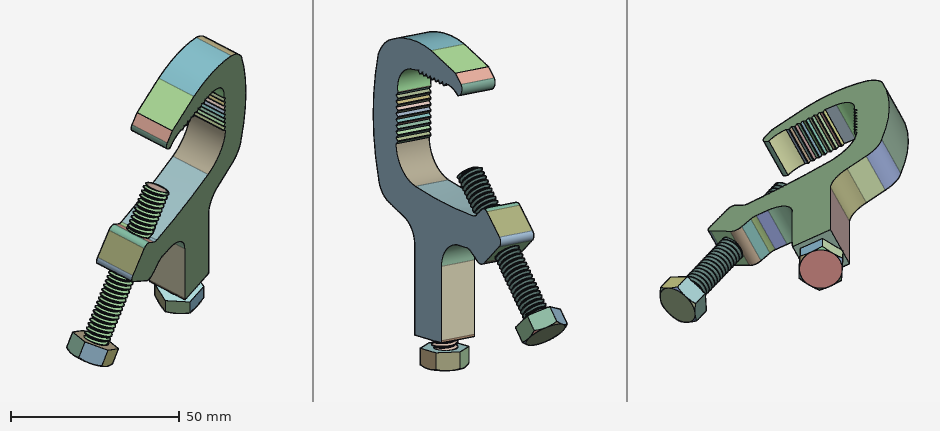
import cadquery as cq
import math

width = 12.7
stem_half_width = width / 2
stem_chamfer_height = 0.75
stem_chamfer_inset = 0.1

tooth_depth = 0.88
tooth_crest = 0.25
wall_tooth_count = 9
jaw_tooth_count = 7

thread_diameter = 7.94
root_diameter = 6.1
thread_pitch = 25.4 / 18
thread_half_angle = 30
head_height = 5.65
head_corner_diameter = width / math.cos(math.radians(30))
head_chamfer_angle = 30
thread_overlap = 0.05

clamp_bolt_turns = 35.6
clamp_bolt_tilt = 40
clamp_bolt_seat = (0, -43.97, 13.9)

stem_bolt_turns = 18
stem_bolt_seat = (0, 0, -3.48)


def tooth_points(first_valley, last_valley, count):
    """Flat-tipped teeth from the first valley to the last, rising to the right of the direction of travel.

    The first valley itself is left out.
    """
    length = math.dist(first_valley, last_valley)
    along_y = (last_valley[0] - first_valley[0]) / length
    along_z = (last_valley[1] - first_valley[1]) / length
    pitch = length / count
    tooth = (
        ((pitch - tooth_crest) / 2, tooth_depth),
        ((pitch + tooth_crest) / 2, tooth_depth),
        (pitch, 0),
    )
    points = []
    for index in range(count):
        for offset, rise in tooth:
            travel = index * pitch + offset
            points.append((
                first_valley[0] + travel * along_y + rise * along_z,
                first_valley[1] + travel * along_z - rise * along_y,
            ))
    return points


def make_clamp():
    """C-shaped clamp with a square stem, extruded across X from its Y-Z outline."""
    wall_teeth = tooth_points((15.08, 73.65), (15.08, 56.82), wall_tooth_count)
    jaw_front = (-8.41, 79.75)
    jaw_back = (4.61, 81.36)

    outline = (
        cq.Workplane("YZ", origin=(-width / 2, 0, 0))
        .moveTo(stem_half_width, 0)
        .lineTo(stem_half_width, 28.2)
        .threePointArc((8.35, 33.0), (11.94, 35.49))
        .lineTo(18.22, 38.2)
        .threePointArc((21.45, 40.5), (23.37, 44.67))
        .threePointArc((25.9, 63.67), (23.55, 82.53))
        .threePointArc((21.4, 85.72), (18.22, 88.06))
        .threePointArc((8.65, 90.1), (-1.53, 88.57))
        .lineTo(-12.9, 83.87)
        .lineTo(-15.59, 80.94)
        .threePointArc((-15.8, 78.6), (-14.09, 77.14))
        .threePointArc((-11.1, 79.17), jaw_front)
        .polyline(tooth_points(jaw_front, jaw_back, jaw_tooth_count), includeCurrent=True)
        .lineTo(8.35, 81.03)
        .threePointArc((12.6, 78.75), wall_teeth[0])
        .polyline(wall_teeth[1:], includeCurrent=True)
        .threePointArc((12.45, 49.8), (5.95, 45.6))
        .threePointArc((-6.91, 43.18), (-21.13, 41.83))
        .threePointArc((-22.02, 41.98), (-22.59, 42.34))
        .lineTo(-24.69, 44.17)
        .threePointArc((-26.36, 44.97), (-27.71, 44.37))
        .lineTo(-33.69, 37.73)
        .threePointArc((-34.29, 36.3), (-33.39, 34.65))
        .lineTo(-26.96, 28.82)
        .threePointArc((-24.87, 27.77), (-23.07, 28.46))
        .lineTo(-20.08, 30.82)
        .threePointArc((-19.18, 31.3), (-18.28, 31.5))
        .lineTo(-14.39, 31.5)
        .threePointArc((-8.72, 29.15), (-stem_half_width, 23.5))
        .lineTo(-stem_half_width, stem_chamfer_height)
        .lineTo(-stem_half_width + stem_chamfer_inset, 0)
        .close()
    )
    return outline.extrude(width)


def helix_edge(radius, height, turns):
    """Right-handed helical wire about Z that starts at the given height."""
    helix = cq.Wire.makeHelix(thread_pitch, turns * thread_pitch, radius)
    return helix.moved(cq.Location(cq.Vector(0, 0, height)))


def make_thread_ridge(turns):
    """V-shaped ridge wound about Z, its middle starting at Z = 0 on the +X side."""
    crest_radius = thread_diameter / 2
    base_radius = root_diameter / 2 - thread_overlap
    crest_half_width = thread_pitch / 16
    flank_width = (crest_radius - base_radius) * math.tan(math.radians(thread_half_angle))
    base_half_width = crest_half_width + flank_width
    profile = (
        (base_radius, -base_half_width),
        (crest_radius, -crest_half_width),
        (crest_radius, crest_half_width),
        (base_radius, base_half_width),
    )
    helices = [helix_edge(radius, height, turns) for radius, height in profile]
    faces = []
    for index, helix in enumerate(helices):
        strip = cq.Face.makeRuledSurface(helices[index - 1], helix)
        faces.extend(strip.Faces())
    for turn in (0, turns):
        angle = 2 * math.pi * turn
        end_corners = [
            cq.Vector(radius * math.cos(angle), radius * math.sin(angle), height + turn * thread_pitch)
            for radius, height in profile
        ]
        faces.append(cq.Face.makeFromWires(cq.Wire.makePolygon(end_corners, close=True)))
    return cq.Workplane(cq.Solid.makeSolid(cq.Shell.makeShell(faces)))


def make_bolt(turns):
    """Hex bolt along Z: head below Z = 0 with flats facing X, threaded shank above."""
    length = turns * thread_pitch
    ridge = make_thread_ridge(turns + 2).rotate((0, 0, 0), (0, 0, 1), -90).translate((0, 0, -thread_pitch))
    envelope = cq.Workplane("XY").circle(thread_diameter).extrude(length)
    shank = cq.Workplane("XY").circle(root_diameter / 2).extrude(length)
    shank = shank.union(ridge.intersect(envelope), clean=False)

    corner_radius = head_corner_diameter / 2
    chamfer_width = corner_radius - width / 2
    chamfer_height = chamfer_width * math.tan(math.radians(head_chamfer_angle))
    chamfered_blank = (
        cq.Workplane("XY", origin=(0, 0, -head_height))
        .circle(corner_radius)
        .extrude(head_height)
        .faces("<Z")
        .chamfer(chamfer_height, chamfer_width)
    )
    head = (
        cq.Workplane("XY", origin=(0, 0, -head_height))
        .polygon(6, head_corner_diameter)
        .extrude(head_height)
        .rotate((0, 0, 0), (0, 0, 1), 90)
        .intersect(chamfered_blank)
    )
    return head.union(shank, clean=False)


def make_bolt_hole(turns):
    """Clearance for the threaded shank of a bolt in the same local frame as make_bolt."""
    return cq.Workplane("XY").circle(thread_diameter / 2).extrude(turns * thread_pitch)


def place(body, seat, tilt):
    """Tilt a body's axis from +Z toward +Y and move its origin to the seat."""
    return body.rotate((0, 0, 0), (1, 0, 0), -tilt).translate(seat)


clamp = make_clamp()
bolts = []
for turns, seat, tilt in (
    (clamp_bolt_turns, clamp_bolt_seat, clamp_bolt_tilt),
    (stem_bolt_turns, stem_bolt_seat, 0),
):
    bolts.append(place(make_bolt(turns), seat, tilt))
    clamp = clamp.cut(place(make_bolt_hole(turns), seat, tilt))

result = cq.Compound.makeCompound([*clamp.solids().vals(), *[bolt.solids().val() for bolt in bolts]])